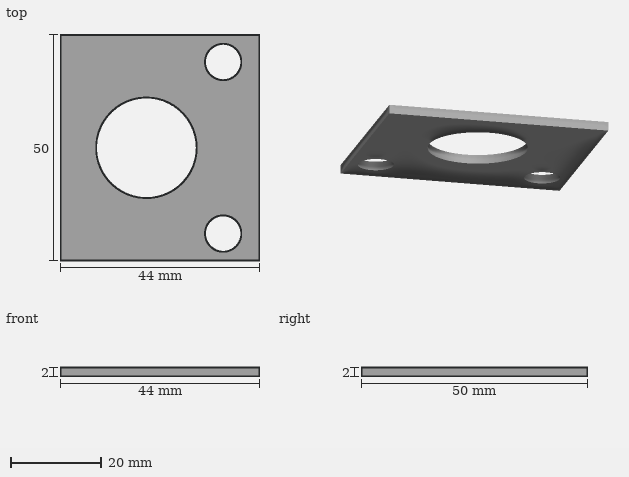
import cadquery as cq

plate_length = 44.0
plate_width = 50.0
plate_thickness = 2.0

opening_diameter = 22.225
opening_from_left_edge = 19.0

small_hole_diameter = 8.0
small_hole_from_right_edge = 8.0
small_hole_from_side_edge = 6.0

opening_x = opening_from_left_edge - plate_length / 2
small_hole_x = plate_length / 2 - small_hole_from_right_edge
small_hole_y = plate_width / 2 - small_hole_from_side_edge


def through_holes(diameter, centers):
    """Cylinders that cut through the full plate thickness at the given XY centers."""
    return (
        cq.Workplane("XY")
        .pushPoints(centers)
        .circle(diameter / 2)
        .extrude(plate_thickness, both=True)
    )


plate = cq.Workplane("XY").box(plate_length, plate_width, plate_thickness)
opening = through_holes(opening_diameter, [(opening_x, 0)])
small_holes = through_holes(
    small_hole_diameter,
    [(small_hole_x, side * small_hole_y) for side in (-1, 1)],
)

result = plate.cut(opening).cut(small_holes)